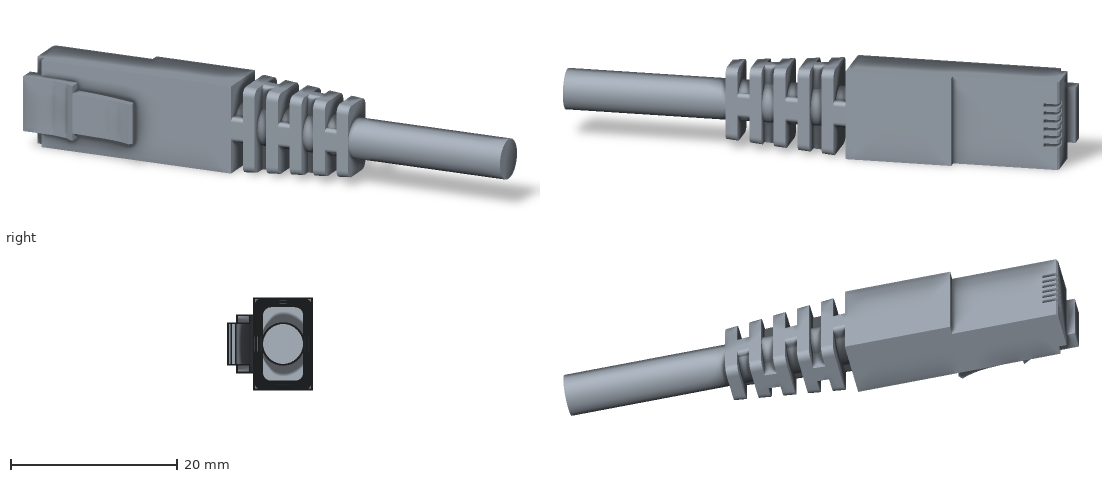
import cadquery as cq
import math


width = 11.0
thickness = 7.0
side = thickness / 2
plug_front = 1.0
plug_rear = 22.0
shoulder_x = 14.0
nose_side = 2.4
nose_chamfer_depth = 0.2
nose_chamfer_height = 0.4
notch_depth = 1.0
notch_side = -2.4

latch_width = 6.9
latch_tail_width = 5.0
latch_side = -4.47
latch_chin = (7.0, -5.55)
latch_bend = (5.85, -4.85)
latch_bend_start_x = 4.0
latch_neck_side = -3.98
tail_inner_middle = (11.1, -4.64)
tail_inner_tip = (15.1, -5.67)
tail_end_corner = (15.23, -6.2)
tail_outer_tip = (14.85, -6.64)
tail_outer_curve = [(13.45, -6.13), (11.8, -5.84), (9.5, -5.7)]

contact_count = 6
contact_pitch = 1.0
contact_width = 0.5
contact_length = 4.0
slot_floor_side = 0.5
slot_floor_rise = 0.66
slot_floor_radius = 3.0
slot_floor_angle = math.acos(1 - slot_floor_rise / slot_floor_radius)
contact_front = plug_front + slot_floor_radius * math.sin(slot_floor_angle)
contact_rear = contact_front + contact_length
contact_bottom = slot_floor_side + slot_floor_rise

boot_block_rear = 27.0
segment = 1.5
segment_count = 10
boot_rear = boot_block_rear + segment_count * segment
boot_taper = 1.0
boot_edge_radius = 1.0
cable_radius = 2.5
cable_end = 62.0
bar_half_height_sides = 1.5
bar_half_height_ends = 1.0
bar_edge_radius = 0.5
bar_root_radius = 0.5
bar_root_sides = [(1, -1), (), (1,), (1,), ()]


def box(x0, x1, y0, y1, z0, z1):
    return cq.Workplane("XY").box(x1 - x0, y1 - y0, z1 - z0, centered=False).translate((x0, y0, z0))


def prism(outline, depth):
    """Extrude an XY outline symmetrically about z = 0."""
    return outline.extrude(depth).translate((0, 0, -depth / 2))


def make_latch():
    head = prism(
        cq.Workplane("XY")
        .moveTo(0, notch_side)
        .lineTo(0, latch_side)
        .lineTo(latch_bend_start_x, latch_side)
        .lineTo(*latch_bend)
        .lineTo(*latch_chin)
        .lineTo(latch_chin[0], latch_neck_side)
        .lineTo(latch_bend_start_x, -side)
        .lineTo(plug_front + notch_depth, -side)
        .lineTo(plug_front + notch_depth, notch_side)
        .close(),
        latch_width,
    )
    tail = prism(
        cq.Workplane("XY")
        .moveTo(latch_chin[0], latch_neck_side)
        .threePointArc(tail_inner_middle, tail_inner_tip)
        .lineTo(*tail_end_corner)
        .lineTo(*tail_outer_tip)
        .spline([*tail_outer_curve, latch_chin], includeCurrent=True)
        .close(),
        latch_tail_width,
    )
    return head.union(tail)


def contact_heights():
    return [(i - (contact_count - 1) / 2) * contact_pitch for i in range(contact_count)]


def slot_floor_point(angle):
    x = plug_front + slot_floor_radius * math.sin(angle)
    y = slot_floor_side + slot_floor_radius * (1 - math.cos(angle))
    return x, y


def make_slot(z):
    """Slot for one contact, open to the front and to +Y, with a hollow front floor."""
    outline = (
        cq.Workplane("XY")
        .moveTo(plug_front, slot_floor_side)
        .threePointArc(slot_floor_point(slot_floor_angle / 2), (contact_front, contact_bottom))
        .lineTo(contact_rear, contact_bottom)
        .lineTo(contact_rear, nose_side)
        .lineTo(plug_front, nose_side)
        .close()
    )
    return prism(outline, contact_width).translate((0, 0, z))


def make_contact(z):
    return box(
        contact_front, contact_rear, contact_bottom, nose_side, z - contact_width / 2, z + contact_width / 2
    )


def make_housing():
    half = width / 2
    nose = box(plug_front, shoulder_x, -side, nose_side, -half, half)
    chamfer = (
        cq.Workplane("XY")
        .moveTo(plug_front, nose_side)
        .lineTo(plug_front + nose_chamfer_depth, nose_side)
        .lineTo(plug_front, nose_side - nose_chamfer_height)
        .close()
    )
    nose = nose.cut(prism(chamfer, width))
    housing = nose.union(box(shoulder_x, plug_rear, -side, side, -half, half))
    housing = housing.cut(box(plug_front, plug_front + notch_depth, -side, notch_side, -half, half))
    housing = housing.union(make_latch())
    for z in contact_heights():
        housing = housing.cut(make_slot(z))
    return housing


def tapered_bar(x0, x1, half_y, half_z, edge_radius, upper_edges_only=False):
    """Bar along X with rounded long edges; half_y and half_z give its half sizes at any x."""
    bar = (
        cq.Workplane("YZ", origin=(x0, 0, 0))
        .rect(2 * half_y(x0), 2 * half_z(x0))
        .workplane(offset=x1 - x0)
        .rect(2 * half_y(x1), 2 * half_z(x1))
        .loft(ruled=True)
    )
    long_edges = bar.edges("not(|Y or |Z)")
    if upper_edges_only:
        long_edges = long_edges.edges(">Z")
    return long_edges.fillet(edge_radius)


def boot_inset(x):
    return boot_taper * (x - boot_block_rear) / (boot_rear - boot_block_rear)


def boot_half_y(x):
    return side - boot_inset(x)


def boot_half_z(x):
    return width / 2 - boot_inset(x)


def side_bars(x0, x1):
    return tapered_bar(x0, x1, boot_half_y, lambda x: bar_half_height_sides, bar_edge_radius)


def end_bars(x0, x1):
    """Bars on the +Z and -Z sides; the -Z bar keeps sharp edges."""
    return tapered_bar(
        x0, x1, lambda x: bar_half_height_ends, boot_half_z, bar_edge_radius, upper_edges_only=True
    )


def cylinder(x0, x1):
    return cq.Workplane("YZ", origin=(x0, 0, 0)).circle(cable_radius).extrude(x1 - x0)


def root_fillets(x0, x1, on_side_bars, y_sign):
    """Concave fillets between bar and core, on one side in Y.

    Side bars have them on both faces; of the end bars only the +Z one has them.
    """
    reach = cable_radius + bar_root_radius
    if on_side_bars:
        centre_z = bar_half_height_sides + bar_root_radius
        centre_y = math.sqrt(reach**2 - centre_z**2)
        bar_point = (centre_y, 0)
    else:
        centre_y = bar_half_height_ends + bar_root_radius
        centre_z = math.sqrt(reach**2 - centre_y**2)
        bar_point = (0, centre_z)
    plane = cq.Workplane("YZ", origin=(x0, 0, 0))
    fill = plane.polyline([(0, 0), bar_point, (centre_y, centre_z)]).close().extrude(x1 - x0)
    hollow = plane.center(centre_y, centre_z).circle(bar_root_radius).extrude(x1 - x0)
    fillet = fill.cut(hollow)
    if y_sign < 0:
        fillet = fillet.mirror("XZ")
    if on_side_bars:
        fillet = fillet.union(fillet.mirror("XY"))
    return fillet


def make_boot():
    half = width / 2
    boot = box(plug_rear, boot_block_rear, -side, side, -half, half)
    rings = tapered_bar(boot_block_rear, boot_rear, boot_half_y, boot_half_z, boot_edge_radius)
    for gap, root_sides in enumerate(bar_root_sides):
        x0 = boot_block_rear + 2 * gap * segment
        x1 = x0 + segment
        on_side_bars = gap % 2 == 0
        bars = side_bars(x0, x1) if on_side_bars else end_bars(x0, x1)
        rings = rings.cut(box(x0, x1, -half, half, -half, half)).union(bars)
        for y_sign in root_sides:
            rings = rings.union(root_fillets(x0, x1, on_side_bars, y_sign))
    return boot.union(rings).union(cylinder(boot_block_rear, cable_end))


housing = make_housing()
boot = make_boot()
contacts = [make_contact(z) for z in contact_heights()]

result = cq.Compound.makeCompound([housing.val(), boot.val(), *[c.val() for c in contacts]])